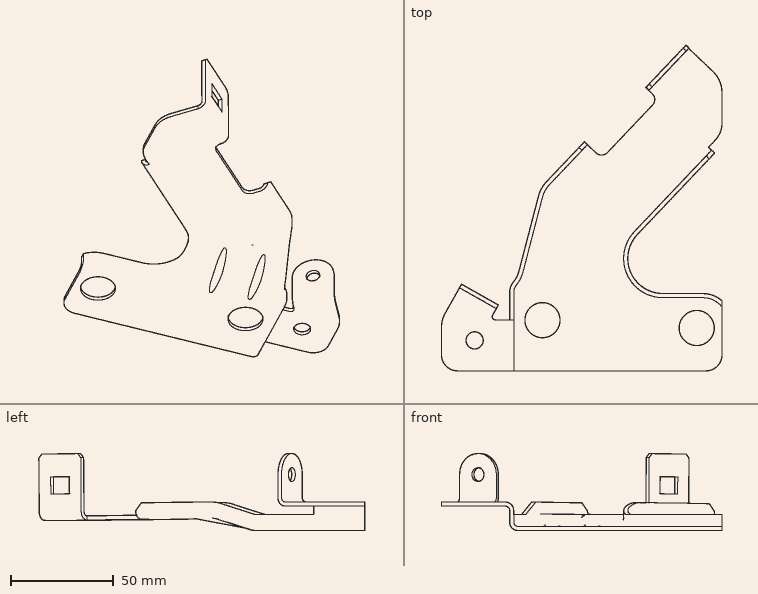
import cadquery as cq
import math

sheet = 2.0
bend_in = 2.0
bend_out = bend_in + sheet
length_y = 159.0
width_x = 136.9
wall_height = 8.0

tall = 95.4
far = 238.5
outside = 23.9
touching = 0.002

arm_angle = 46.5
arm_cos = math.cos(math.radians(arm_angle))
arm_sin = math.sin(math.radians(arm_angle))
arm_tilt = 0.6
arm_level = 7.0

arm_left = 26.4
arm_right = -23.5
tab_side = 22.9
notch_side = 14.6
notch_start = 129.1
notch_end = 168.9
wall_bevel = 4.0

ramp_foot = (65.2, 52.5)
ramp_crest = (68.4, 70.8)
ramp_turn = -5.7
ramp_slope = 17.5
ramp_bend = 6.4
sharp_bend = 0.8

left_wall = 33.2
left_lean = 75.4
left_kink = (left_wall, 41.0)
left_knee = (37.0, 46.0)
front_wall = 37.8
throat_radius = 17.0
lip_start = 127.5
lip_radius = 14.0
kink_radius = 8.0
knee_radius = 12.7
shoulder_radius = 15.9

corner_radius = 8.0
arm_corner_radius = 12.0
tip_radius = 14.3
notch_radius = 4.0

groove_rim = 4.0
rib_offsets = [-11.3, 8.3]
rib_reach = 15.0
groove_offset = -0.2
groove_lift = 0.2
groove_run = 35.0
groove_rise = 6.7

ledge_top = 14.0
ledge_depth = 25.0
ledge_under = ledge_top - sheet
ledge_corner_radius = 14.0
ledge_notch_radius = 1.6

tab_top = 37.7
square_tab_height = 32.5
square_tab_chamfer = 2.0

tilt_reach = (square_tab_height - square_tab_chamfer) * math.sin(math.radians(arm_tilt))
arm_end = (length_y - tab_side * arm_cos) / arm_sin - tilt_reach

square_hole = (12.4, 8.3)
square_hole_place = (14.2, 17.0)
round_tab_width = 20.7
round_tab_hole = 6.7
round_tab_turn = -29.5
round_tab_root = (7.8, 38.8)

base_hole = 17.0
base_hole_places = [(49.3, 24.8), (124.5, 21.0)]
ledge_hole = 8.3
ledge_hole_place = (16.2, 15.0)


def arm_point(u, v):
    """Plan point at u along the arm and v across it."""
    return (u * arm_cos - v * arm_sin, u * arm_sin + v * arm_cos)


def meet(p, p_angle, q, q_angle):
    """Crossing of two plan lines, each given by a point and a direction."""
    px, py = math.cos(math.radians(p_angle)), math.sin(math.radians(p_angle))
    qx, qy = math.cos(math.radians(q_angle)), math.sin(math.radians(q_angle))
    s = ((q[0] - p[0]) * qy - (q[1] - p[1]) * qx) / (px * qy - py * qx)
    return (p[0] + s * px, p[1] + s * py)


def rounded_outline(corners):
    """Closed plan wire from (point, radius) corners."""
    wire = cq.Wire.makePolygon([cq.Vector(*p, 0) for p, _ in corners], close=True)
    for p, radius in corners:
        if radius:
            vertex = min(wire.Vertices(), key=lambda k: (k.Center() - cq.Vector(*p, 0)).Length)
            wire = wire.fillet2D(radius, [vertex])
    return wire


def prism(wire):
    return cq.Workplane(cq.Solid.extrudeLinear(wire, [], cq.Vector(0, 0, tall)))


base_plane = cq.Plane.XY()
ramp_plane = cq.Plane((*ramp_foot, 0)).rotated((0, 0, ramp_turn)).rotated((ramp_slope, 0, 0))
heading_plane = cq.Plane((*ramp_foot, 0)).rotated((0, 0, ramp_turn))
arm_plane = cq.Plane((0, 0, arm_level)).rotated((0, 0, arm_angle)).rotated((0, arm_tilt, 0))
round_tab_plane = cq.Plane((*round_tab_root, ledge_under)).rotated((0, 0, round_tab_turn))


def below(plane, height):
    """Block filling the space below a plane raised by height."""
    return cq.Workplane(plane).workplane(offset=height).rect(2 * far, 2 * far).extrude(-far)


def round_edge_at(body, point, radius):
    """Fillet the one edge that passes closest to the point."""
    mark = cq.Vertex.makeVertex(*point)
    edge = min(body.edges().vals(), key=lambda e: e.distance(mark))
    return body.newObject([edge]).fillet(radius)


def ground(height):
    """Everything below the sheet underside raised by height, with rounded bends."""
    foot_radius = max(ramp_bend + sheet - height, sharp_bend)
    arm = below(ramp_plane, height).intersect(below(arm_plane, height))
    arm = round_edge_at(arm, (*ramp_crest, arm_level + height), ramp_bend + height)
    hill = arm.union(below(base_plane, height))
    return round_edge_at(hill, (*ramp_foot, height), foot_radius)


floor_under = ground(0)
floor_top = ground(sheet)
floor_rim = ground(wall_height)


def tray_outline():
    knee_top = meet(left_knee, left_lean, arm_point(0, arm_left), arm_angle)
    throat = meet(arm_point(0, arm_right), arm_angle, (0, front_wall), 0)
    lip_end = lip_start + lip_radius
    return rounded_outline([
        ((left_wall, -outside), 0),
        (left_kink, kink_radius),
        (left_knee, knee_radius),
        (knee_top, shoulder_radius),
        (arm_point(arm_end + outside, arm_left), 0),
        (arm_point(arm_end + outside, arm_right), 0),
        (throat, throat_radius),
        ((lip_end, front_wall), lip_radius),
        ((lip_end, -outside), 0),
    ])


def tray_room(outline, floor, radius):
    """Tall block standing on a floor, its bottom rim rounded along the outline."""
    block = prism(outline).cut(floor)

    def on_rim(edge):
        middle = edge.positionAt(0.5)
        mark = cq.Vertex.makeVertex(middle.x, middle.y, 0)
        return middle.z < wall_height and outline.distance(mark) < touching

    rim = [edge for edge in block.edges().vals() if on_rim(edge)]
    return block.newObject(rim).fillet(radius)


def blank_outline():
    """Trimmed contour of the tray, lying outside the flanges where they bound the part."""
    right_edge = arm_right + bend_out
    tab_root = tab_side - bend_out
    relief = meet(arm_point(notch_end, 0), arm_angle - 90, (width_x, 0), 90)
    arm_corner = meet(arm_point(0, right_edge), arm_angle, (width_x, 0), 90)
    tip_corner = meet(arm_point(arm_end, 0), arm_angle - 90, (width_x, 0), 90)
    return rounded_outline([
        ((0, 0), 0),
        ((width_x, 0), corner_radius),
        (relief, 0),
        (arm_point(notch_end, right_edge), 0),
        (arm_corner, arm_corner_radius),
        (tip_corner, tip_radius),
        (arm_point(arm_end, tab_root), 0),
        (arm_point(notch_end, tab_root), 0),
        (arm_point(notch_end, notch_side), notch_radius),
        (arm_point(notch_start, notch_side), notch_radius),
        (arm_point(notch_start, arm_left + outside), 0),
        ((0, length_y), 0),
    ])


def wall_end_bevel(u_end, v_wall):
    """Wedge that slopes the top of a flange at its end."""
    wedge = (
        cq.Workplane(arm_plane.rotated((90, 0, 0)))
        .moveTo(u_end, wall_height - wall_bevel)
        .lineTo(u_end, wall_height)
        .lineTo(u_end - wall_bevel, wall_height)
        .close()
        .extrude(bend_out, both=True)
    )
    across = arm_plane.yDir * v_wall
    return wedge.translate(across)


def flanged_tray():
    outline = tray_outline()
    inner = outline.offset2D(-sheet)[0]
    outside_room = tray_room(outline, floor_under, bend_out)
    inside_room = tray_room(inner, floor_top, bend_in)
    tray = outside_room.cut(inside_room).intersect(floor_rim).intersect(prism(blank_outline()))
    tray = tray.cut(wall_end_bevel(notch_start, arm_left))
    return tray.cut(wall_end_bevel(notch_end, arm_right))


def bead_bar(start, end, radius, axis_shift):
    """Round bar along a chord in the ramp heading, its axis shifted off the chord."""
    chord = end - start
    outward = chord.cross(heading_plane.xDir).normalized() * -axis_shift
    plane = cq.Plane(start + outward, outward, chord)
    return cq.Workplane(plane).circle(radius).extrude(chord.Length)


def round_rim(body, bar, radius):
    """Fillet the rim where the round face of a bar leaves the sheet."""
    skin = bar.faces("%CYLINDER").val()

    def on_skin(edge):
        return skin.distance(cq.Vertex.makeVertex(*edge.positionAt(0.5).toTuple())) < touching

    rim = [edge for edge in body.edges().vals() if on_skin(edge)]
    return body.newObject(rim).fillet(radius)


def add_rib(body, offset):
    """Raised bead over the bend at the foot of the ramp, hollow underneath."""
    start = heading_plane.toWorldCoords((offset, -rib_reach, sheet))
    ramp_top = ramp_plane.toWorldCoords((offset, rib_reach, sheet))
    outer = bead_bar(start, ramp_top, bend_out, -bend_out)
    hollow = bead_bar(start, ramp_top, bend_in, -bend_out)
    return round_rim(body.union(outer.cut(floor_under)), outer, bend_in).cut(hollow)


def add_groove(body):
    """Sunken bead across the bend at the crest of the ramp."""
    start = heading_plane.toWorldCoords((groove_offset, 0, sheet + groove_lift))
    end = heading_plane.toWorldCoords((groove_offset, groove_run, sheet + groove_rise))
    outer = bead_bar(start, end, bend_out, bend_in)
    hollow = bead_bar(start, end, bend_in, bend_in)
    body = round_rim(body.union(outer.intersect(floor_top)), outer, bend_in)
    return round_rim(body.cut(hollow), hollow, groove_rim)


def upright_tab(plane, face, width, height):
    """Tab bent up at y = 0 of the plane, trimmed to a face drawn in (x, height)."""
    profile_plane = cq.Plane(plane.origin, plane.yDir, plane.xDir)
    blank = (
        cq.Workplane(profile_plane)
        .radiusArc((bend_out, bend_out), -bend_out)
        .lineTo(bend_out, height)
        .lineTo(bend_in, height)
        .lineTo(bend_in, bend_out)
        .radiusArc((0, sheet), bend_in)
        .close()
        .extrude(width)
    )
    face_plane = cq.Plane(plane.origin, plane.xDir, -plane.yDir)
    return blank.intersect(cq.Workplane(face_plane).placeSketch(face).extrude(-bend_out))


def square_hole_tab():
    width = arm_end - notch_end
    face = (
        cq.Sketch()
        .push([(width / 2, square_tab_height / 2)])
        .rect(width, square_tab_height)
        .reset()
        .vertices(">Y")
        .chamfer(square_tab_chamfer)
        .reset()
        .push([square_hole_place])
        .rect(*square_hole, mode="s")
    )
    root = arm_plane.toWorldCoords((notch_end, tab_side - bend_out, 0))
    plane = cq.Plane(root, arm_plane.xDir, arm_plane.zDir)
    return upright_tab(plane, face, width, square_tab_height)


def round_tab():
    height = tab_top - ledge_under
    radius = round_tab_width / 2
    face = (
        cq.Sketch()
        .push([(radius, (height - radius) / 2)])
        .rect(round_tab_width, height - radius)
        .reset()
        .push([(radius, height - radius)])
        .circle(radius)
        .circle(round_tab_hole / 2, mode="s")
    )
    return upright_tab(round_tab_plane, face, round_tab_width, height)


def ledge_outline():
    root_left = round_tab_root
    root_right = round_tab_plane.toWorldCoords((round_tab_width, 0)).toTuple()[:2]
    left_corner = meet(root_left, round_tab_turn + 90, (0, 0), 90)
    notch_corner = meet(root_right, round_tab_turn + 90, (0, ledge_depth), 0)
    return rounded_outline([
        ((0, 0), corner_radius),
        ((left_wall + sheet, 0), 0),
        ((left_wall + sheet, ledge_depth), 0),
        (notch_corner, ledge_notch_radius),
        (root_right, 0),
        (root_left, 0),
        (left_corner, ledge_corner_radius),
    ])


def ledge_and_step():
    step = (
        cq.Workplane("XZ")
        .moveTo(-outside, ledge_under)
        .lineTo(left_wall - bend_in, ledge_under)
        .radiusArc((left_wall, ledge_under - bend_in), bend_in)
        .lineTo(left_wall, bend_out)
        .lineTo(left_wall + sheet, bend_out)
        .lineTo(left_wall + sheet, ledge_top - bend_out)
        .radiusArc((left_wall + sheet - bend_out, ledge_top), -bend_out)
        .lineTo(-outside, ledge_top)
        .close()
        .extrude(-length_y)
    )
    return step.intersect(prism(ledge_outline()))


def round_hole(diameter, place):
    return cq.Workplane().center(*place).circle(diameter / 2).extrude(ledge_top)


result = flanged_tray()
for offset in rib_offsets:
    result = add_rib(result, offset)
result = add_groove(result)
result = result.union(square_hole_tab()).union(ledge_and_step()).union(round_tab())
for place in base_hole_places:
    result = result.cut(round_hole(base_hole, place))
result = result.cut(round_hole(ledge_hole, ledge_hole_place))